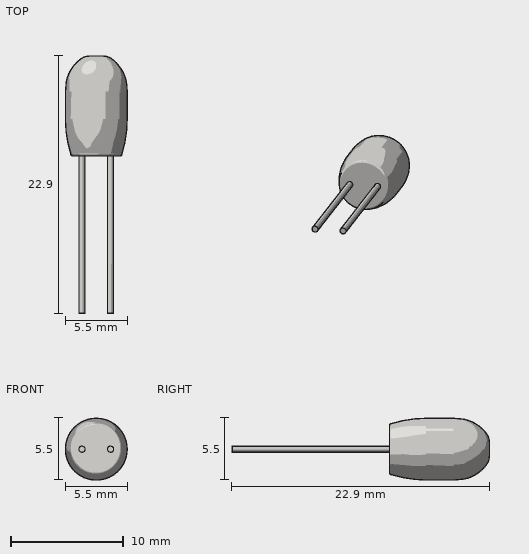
import cadquery as cq

total_length = 22.85
body_length = 8.9
body_diameter = 5.5

dome_length = 3.18
band_length = 2.45
tip_radius = 1.2
tip_drop = 0.14
shoulder_radius = 2.2
shoulder_drop = 1.12
base_edge_radius = 2.29
base_fillet = 0.2

lead_diameter = 0.55
lead_pitch = 2.54

body_radius = body_diameter / 2
band_top = body_length - dome_length
band_bottom = band_top - band_length
lead_length = total_length - body_length
face_radius = base_edge_radius - base_fillet

flank_rise = band_bottom - base_fillet
flank_inset = body_radius - base_edge_radius
flank_radius = (flank_rise**2 + flank_inset**2) / (2 * flank_inset)


def make_body():
    """Revolve the half profile: flat base, rounded edge, swelling flank, straight band and blunt dome."""
    dome_points = [
        (shoulder_radius, body_length - shoulder_drop),
        (tip_radius, body_length - tip_drop),
        (0, body_length),
    ]
    profile = (
        cq.Workplane("XY")
        .lineTo(face_radius, 0)
        .radiusArc((base_edge_radius, base_fillet), -base_fillet)
        .radiusArc((body_radius, band_bottom), -flank_radius)
        .lineTo(body_radius, band_top)
        .spline(dome_points, tangents=[(0, 1), (-1, 0)], includeCurrent=True)
        .close()
    )
    return profile.revolve(360, (0, 0), (0, 1))


def make_leads():
    """Two round wires running from the base toward -Y."""
    return (
        cq.Workplane("XZ")
        .pushPoints([(-lead_pitch / 2, 0), (lead_pitch / 2, 0)])
        .circle(lead_diameter / 2)
        .extrude(lead_length)
    )


result = make_body().union(make_leads())